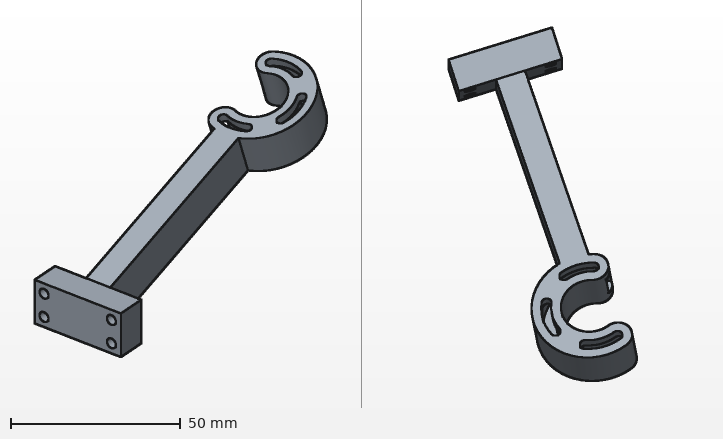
import cadquery as cq
import math

plate_width = 32.0
plate_depth = 10.0
plate_height = 15.0
hole_diameter = 3.3
hole_spacing_x = 25.0
hole_spacing_z = 8.0

overall_length = 109.5
arm_width = 9.0
arm_slope = 19.2
arm_overlap = 1.1

outer_radius = 17.5
inner_radius = 8.8
tip_angle = 110.7

slot_width = 3.0
slot_spans = [(-tip_angle, -70.5), (-24.0, 21.3), (66.0, tip_angle)]

channel_width = 3.9
channel_height = 8.0
channel_end_angle = 145.0

slope = math.radians(arm_slope)
mid_radius = (outer_radius + inner_radius) / 2
hook_thickness = plate_height * math.cos(slope)
hook_center = (overall_length - plate_depth) / math.cos(slope) - outer_radius


def polar(radius, angle):
    """Point at a radius and direction from the hook centre."""
    turn = math.radians(angle)
    return radius * math.cos(turn), radius * math.sin(turn)


def arc_band(width, start, end, height, round_ends):
    """Band of constant width along the hook's middle arc, standing on z = 0."""
    inner = mid_radius - width / 2
    outer = mid_radius + width / 2
    middle = (start + end) / 2
    band = cq.Workplane("XY").moveTo(*polar(outer, start))
    band = band.threePointArc(polar(outer, middle), polar(outer, end))
    band = band.lineTo(*polar(inner, end))
    band = band.threePointArc(polar(inner, middle), polar(inner, start))
    band = band.close().extrude(height)
    if round_ends:
        for angle in (start, end):
            end_disc = cq.Workplane("XY").center(*polar(mid_radius, angle)).circle(width / 2)
            band = band.union(end_disc.extrude(height))
    return band


def make_plate():
    plate = cq.Workplane("XY").box(plate_width, plate_depth, plate_height, centered=(True, False, False))
    return (
        plate.faces("<Y").workplane(centerOption="CenterOfBoundBox")
        .rarray(hole_spacing_x, hole_spacing_z, 2, 2)
        .hole(hole_diameter)
    )


def make_arm():
    """Upright at the plate and square to the slope at the hook."""
    length = hook_center - outer_radius + arm_overlap
    end_y = plate_depth + length * math.cos(slope)
    end_z = length * math.sin(slope)
    outline = [
        (plate_depth, 0),
        (end_y, end_z),
        (end_y - hook_thickness * math.sin(slope), end_z + hook_thickness * math.cos(slope)),
        (plate_depth, plate_height),
    ]
    return cq.Workplane("YZ").polyline(outline).close().extrude(arm_width / 2, both=True)


def make_hook():
    channel_floor = (hook_thickness - channel_height) / 2
    hook = arc_band(outer_radius - inner_radius, -tip_angle, tip_angle, hook_thickness, True)
    channel = arc_band(channel_width, -channel_end_angle, channel_end_angle, channel_height, False)
    hook = hook.cut(channel.translate((0, 0, channel_floor)))
    for start, end in slot_spans:
        slot = arc_band(slot_width, start, end, hook_thickness - channel_floor, True)
        hook = hook.cut(slot.translate((0, 0, channel_floor)))
    return hook


hook = (
    make_hook()
    .translate((0, hook_center, 0))
    .rotate((0, 0, 0), (1, 0, 0), arm_slope)
    .translate((0, plate_depth, 0))
)
result = make_plate().union(make_arm()).union(hook)